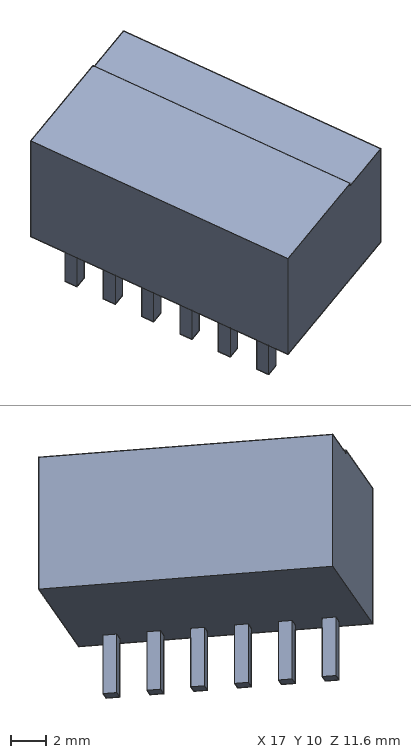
import cadquery as cq

pin_count = 6
pin_pitch = 2.54
end_margin = 2.17
body_length = (pin_count - 1) * pin_pitch + 2 * end_margin
body_depth = 10.0
body_height = 8.1

step_width = 3.3
step_drop = 0.2

pin_size = 0.8
pin_length = 3.5
pin_row_setback = 1.2


def make_housing():
    """Block standing on Z = 0, front face on Y = 0, lowered along the rear."""
    step_start = body_depth - step_width
    rear_height = body_height - step_drop
    profile = [
        (0, 0),
        (body_depth, 0),
        (body_depth, rear_height),
        (step_start, rear_height),
        (step_start, body_height),
        (0, body_height),
    ]
    return (
        cq.Workplane("YZ")
        .polyline(profile)
        .close()
        .extrude(body_length / 2, both=True)
    )


def make_pins():
    """Row of square pins hanging below the housing."""
    return (
        cq.Workplane("XY")
        .center(0, pin_row_setback)
        .rarray(pin_pitch, 1, pin_count, 1)
        .rect(pin_size, pin_size)
        .extrude(-pin_length)
    )


result = make_housing().union(make_pins())